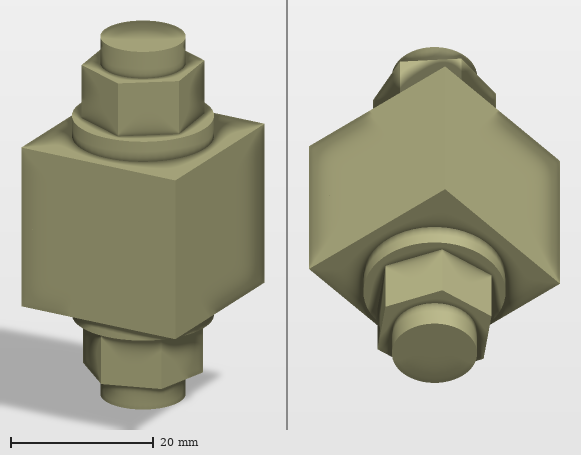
import cadquery as cq
import math

plate_side = 25.0
plate_thickness = 12.0

stud_diameter = 12.0
stud_length = 54.0
washer_diameter = 20.0
washer_thickness = 3.0
nut_across_flats = 15.0
nut_height = 8.0
upper_nut_angle = 36.0
lower_nut_angle = 17.5

nut_across_corners = nut_across_flats / math.cos(math.radians(30))


def make_plate(bottom_z):
    """Square plate with a through hole that fits the stud."""
    return (
        cq.Workplane("XY", origin=(0, 0, bottom_z))
        .rect(plate_side, plate_side)
        .circle(stud_diameter / 2)
        .extrude(plate_thickness)
    )


def make_washer_and_nut(direction, nut_angle):
    """Washer against the outer plate face and nut on it; direction is +1 for up, -1 for down."""
    washer_start = direction * plate_thickness
    nut_start = direction * (plate_thickness + washer_thickness)
    washer = (
        cq.Workplane("XY", origin=(0, 0, washer_start))
        .circle(washer_diameter / 2)
        .extrude(direction * washer_thickness)
    )
    nut = (
        cq.Workplane("XY", origin=(0, 0, nut_start))
        .polygon(6, nut_across_corners)
        .extrude(direction * nut_height)
        .rotate((0, 0, 0), (0, 0, 1), nut_angle)
    )
    return washer.union(nut)


def make_fastener():
    """Stud, washers and nuts as one solid, centred on the joint between the plates."""
    stud = (
        cq.Workplane("XY", origin=(0, 0, -stud_length / 2))
        .circle(stud_diameter / 2)
        .extrude(stud_length)
    )
    upper_end = make_washer_and_nut(1, upper_nut_angle)
    lower_end = make_washer_and_nut(-1, lower_nut_angle)
    return stud.union(upper_end).union(lower_end)


plates = [make_plate(bottom_z) for bottom_z in (-plate_thickness, 0)]
fastener = make_fastener()

result = cq.Compound.makeCompound([*(plate.val() for plate in plates), fastener.val()])